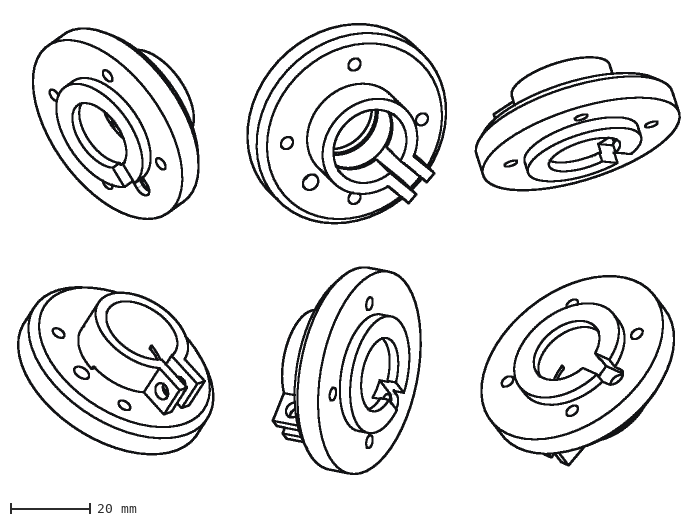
import math

import cadquery as cq

SPIGOT_RADIUS = 15.0
SPIGOT_LENGTH = 3.0
FLANGE_RADIUS = 26.0
FLANGE_THICKNESS = 8.0
FLANGE_CHAMFER = 2.0
HUB_RADIUS = 13.0
HUB_LENGTH = 10.0
FLANGE_FRONT = SPIGOT_LENGTH
FLANGE_BACK = FLANGE_FRONT + FLANGE_THICKNESS
TOTAL_LENGTH = FLANGE_BACK + HUB_LENGTH

MOUTH_RADIUS = 9.4
BORE_RADIUS = 10.0
MOUTH_LENGTH = 2.5

MOUNT_HOLE_COUNT = 4
MOUNT_HOLE_DIAMETER = 3.3
MOUNT_CIRCLE_RADIUS = 18.5

KEY_ANGLE = -45.0
KEY_WIDTH = 5.0
KEY_DEPTH = 5.0
PIN_RADIAL_POSITION = 17.0
PIN_HOLE_DIAMETER = 4.2

CLAMP_ANGLE = 225.0
EAR_REACH = 20.0
CLAMP_WIDTH = 10.0
CLAMP_GAP = 4.0
RELIEF_SLIT = 1.0
SCREW_HOLE_DIAMETER = 4.2
SCREW_RADIAL_POSITION = 16.0
CLAMP_FRONT = FLANGE_BACK + RELIEF_SLIT
CLAMP_LENGTH = TOTAL_LENGTH - CLAMP_FRONT


def cylinder(radius, start, length, x=0.0, z=0.0):
    """Cylinder along +Y from Y = start, centred at (x, z)."""
    return cq.Workplane(cq.Solid.makeCylinder(radius, length, cq.Vector(x, start, z), cq.Vector(0, 1, 0)))


def radial_block(angle, reach, width, start, length):
    """Block from the axis outwards to reach, pointing along angle (from +X towards +Z)."""
    block = cq.Workplane("XY").box(reach, length, width, centered=(False, False, True))
    return block.translate((0, start, 0)).rotate((0, 0, 0), (0, 1, 0), -angle)


def polar(radius, angle):
    """(x, z) of a point at the given radius and angle."""
    return radius * math.cos(math.radians(angle)), radius * math.sin(math.radians(angle))


def make_body():
    spigot = cylinder(SPIGOT_RADIUS, 0, SPIGOT_LENGTH)
    flange = cylinder(FLANGE_RADIUS, FLANGE_FRONT, FLANGE_THICKNESS)
    flange = flange.faces(">Y").chamfer(FLANGE_CHAMFER)
    hub = cylinder(HUB_RADIUS, FLANGE_BACK, HUB_LENGTH)
    ears = radial_block(CLAMP_ANGLE, EAR_REACH, CLAMP_WIDTH, CLAMP_FRONT, CLAMP_LENGTH)
    return spigot.union(flange).union(hub).union(ears)


def cut_bore(body):
    mouth = cylinder(MOUTH_RADIUS, 0, MOUTH_LENGTH)
    bore = cylinder(BORE_RADIUS, MOUTH_LENGTH, TOTAL_LENGTH - MOUTH_LENGTH)
    return body.cut(mouth).cut(bore)


def cut_mount_holes(body):
    for index in range(MOUNT_HOLE_COUNT):
        x, z = polar(MOUNT_CIRCLE_RADIUS, index * 360.0 / MOUNT_HOLE_COUNT)
        body = body.cut(cylinder(MOUNT_HOLE_DIAMETER / 2, FLANGE_FRONT, FLANGE_THICKNESS, x, z))
    return body


def cut_key_slot(body):
    x, z = polar(PIN_RADIAL_POSITION, KEY_ANGLE)
    straight = radial_block(KEY_ANGLE, PIN_RADIAL_POSITION, KEY_WIDTH, 0, KEY_DEPTH)
    round_end = cylinder(KEY_WIDTH / 2, 0, KEY_DEPTH, x, z)
    pin_hole = cylinder(PIN_HOLE_DIAMETER / 2, 0, FLANGE_BACK, x, z)
    return body.cut(straight).cut(round_end).cut(pin_hole)


def cut_clamp(body):
    slit = radial_block(CLAMP_ANGLE, EAR_REACH, 2 * HUB_RADIUS, FLANGE_BACK, RELIEF_SLIT)
    gap = radial_block(CLAMP_ANGLE, EAR_REACH, CLAMP_GAP, CLAMP_FRONT, CLAMP_LENGTH)
    screw_hole = cq.Workplane("XY").circle(SCREW_HOLE_DIAMETER / 2).extrude(CLAMP_WIDTH / 2, both=True)
    screw_hole = screw_hole.translate((SCREW_RADIAL_POSITION, CLAMP_FRONT + CLAMP_LENGTH / 2, 0))
    screw_hole = screw_hole.rotate((0, 0, 0), (0, 1, 0), -CLAMP_ANGLE)
    return body.cut(slit).cut(gap).cut(screw_hole)


result = cut_clamp(cut_key_slot(cut_mount_holes(cut_bore(make_body()))))